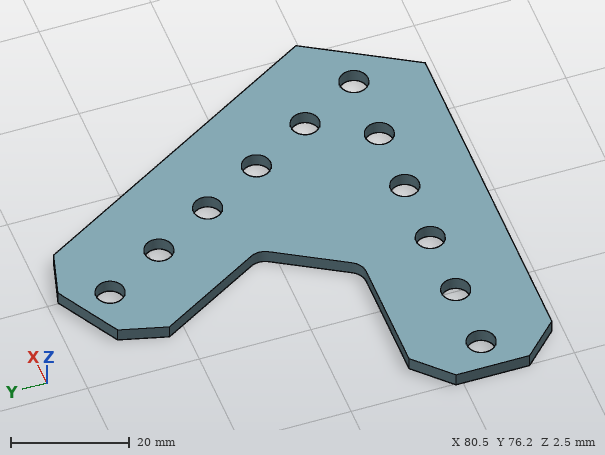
import cadquery as cq
import math

thickness = 2.5
hole_pitch = 12.7
hole_diameter = 5.1
holes_per_arm = 6
half_width = 12.8
end_chamfer = 6.2
neck_distance = 41.1
neck_fillet = 3.1
overall_length = 80.45
arm_angle = 60
bisector_angle = 180 - arm_angle / 2
arm_reach = overall_length - half_width * math.sin(math.radians(arm_angle))


def mirrored(point):
    """Reflect a point of the horizontal arm onto the sloping arm."""
    x, y = point
    turn = math.radians(2 * bisector_angle)
    return (
        x * math.cos(turn) + y * math.sin(turn),
        x * math.sin(turn) - y * math.cos(turn),
    )


def build_plate():
    half_angle = math.radians(arm_angle / 2)
    neck_x = -(neck_distance - half_width * math.sin(half_angle)) / math.cos(half_angle)
    neck_corner = (neck_x, half_width)
    arm = [
        neck_corner,
        (end_chamfer - arm_reach, half_width),
        (-arm_reach, half_width - end_chamfer),
        (-arm_reach, end_chamfer - half_width),
        (end_chamfer - arm_reach, -half_width),
        (0, -half_width),
    ]
    outline = arm + [mirrored(point) for point in reversed(arm)]
    plate = cq.Workplane("XY").polyline(outline).close().extrude(thickness)
    for corner in (neck_corner, mirrored(neck_corner)):
        nearest = cq.selectors.NearestToPointSelector((*corner, thickness / 2))
        plate = plate.edges(nearest).fillet(neck_fillet)
    return plate


def hole_centres():
    row = [(-i * hole_pitch, 0) for i in range(holes_per_arm)]
    return row + [mirrored(point) for point in row[1:]]


holes = (
    cq.Workplane("XY")
    .pushPoints(hole_centres())
    .circle(hole_diameter / 2)
    .extrude(thickness)
)
result = build_plate().cut(holes)